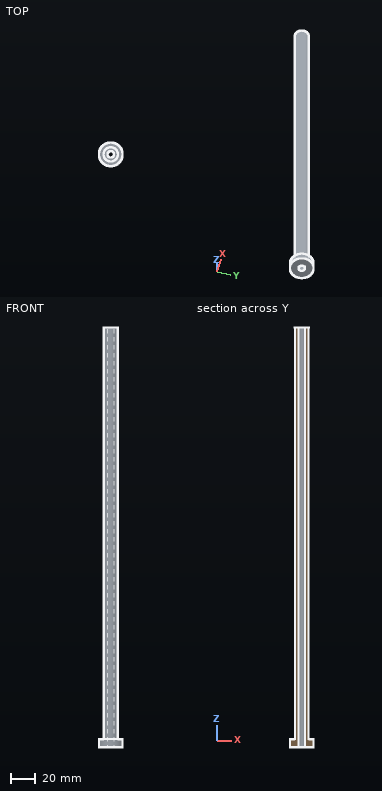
import cadquery as cq

total_length = 350.0
head_diameter = 20.0
head_height = 7.0
shaft_diameter = 12.0
bore_diameter = 5.2
neck_radius = 0.52

head = cq.Workplane("XY").circle(head_diameter / 2).extrude(head_height)
shaft = cq.Workplane("XY").circle(shaft_diameter / 2).extrude(total_length)
body = head.union(shaft)

neck_edge = cq.selectors.BoxSelector(
    (-shaft_diameter, -shaft_diameter, head_height - neck_radius),
    (shaft_diameter, shaft_diameter, head_height + neck_radius),
)
neck_circle = cq.selectors.RadiusNthSelector(0)
body = body.edges(neck_edge).edges(neck_circle).fillet(neck_radius)

bore = cq.Workplane("XY").circle(bore_diameter / 2).extrude(total_length)
result = body.cut(bore)